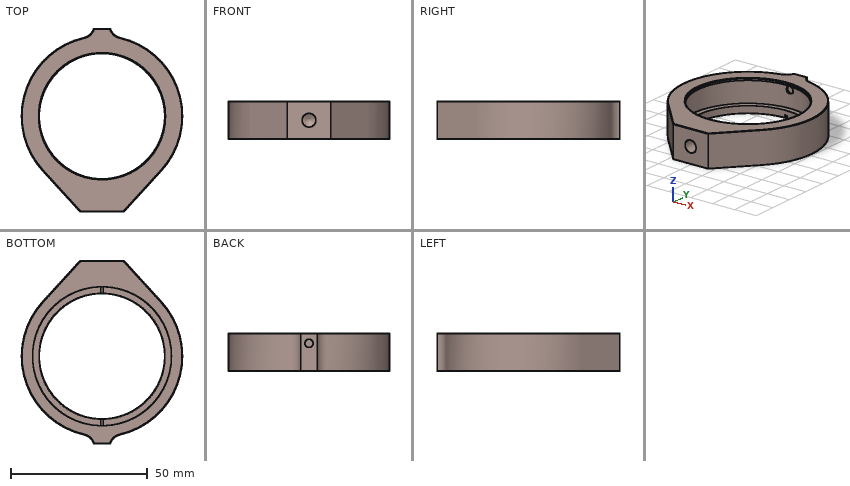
import cadquery as cq
import math

height = 14.0
rim_diameter = 59.0
rim_radius = rim_diameter / 2
foot_reach = 35.0
foot_width = 16.0
tab_reach = 32.0
tab_width = 6.0
tab_blend_radius = 5.0
edge_chamfer = 0.2

lip_radius = 23.0
lip_thickness = 1.0
lip_chamfer = 0.3
seat_radius = 25.45

mount_hole_diameter = 5.0
mount_hole_depth = 6.0
drill_point_angle = 118.0

screw_diameter = 3.0
screw_z = 10.25
screw_setback = 0.6

ring_height = 3.0
slot_width = 1.0
slot_depth = 1.0


def on_circle(radius, angle):
    """Point in the XY plane at a radius and an angle in radians."""
    return radius * math.cos(angle), radius * math.sin(angle)


def mirrored(point):
    """The point on the other side of the YZ plane."""
    return -point[0], point[1]


def housing_outline():
    """Round rim with sides tangent to the foot and a tab blended in on the opposite side."""
    foot_corner = (foot_width / 2, -foot_reach)
    foot_angle = math.atan2(foot_corner[1], foot_corner[0])
    side_tangent = on_circle(rim_radius, foot_angle + math.acos(rim_radius / math.hypot(*foot_corner)))

    tab_corner = (tab_width / 2, tab_reach)
    corner_distance = math.hypot(*tab_corner)
    centre_distance = rim_radius + tab_blend_radius
    spread = math.acos(
        (corner_distance**2 + centre_distance**2 - tab_blend_radius**2)
        / (2 * corner_distance * centre_distance)
    )
    blend_angle = math.atan2(tab_corner[1], tab_corner[0]) - spread
    blend_end = on_circle(rim_radius, blend_angle)
    blend_centre = on_circle(centre_distance, blend_angle)
    chord_middle = ((tab_corner[0] + blend_end[0]) / 2, (tab_corner[1] + blend_end[1]) / 2)
    bulge_angle = math.atan2(chord_middle[1] - blend_centre[1], chord_middle[0] - blend_centre[0])
    bulge = on_circle(tab_blend_radius, bulge_angle)
    blend_middle = (blend_centre[0] + bulge[0], blend_centre[1] + bulge[1])

    return (
        cq.Workplane("XY")
        .moveTo(*mirrored(foot_corner))
        .lineTo(*foot_corner)
        .lineTo(*side_tangent)
        .threePointArc((rim_radius, 0), blend_end)
        .threePointArc(blend_middle, tab_corner)
        .lineTo(*mirrored(tab_corner))
        .threePointArc(mirrored(blend_middle), mirrored(blend_end))
        .threePointArc((-rim_radius, 0), mirrored(side_tangent))
        .close()
    )


def mount_hole():
    """Drilled blind hole with a conical end, entering the foot along +Y."""
    radius = mount_hole_diameter / 2
    point_length = radius / math.tan(math.radians(drill_point_angle / 2))
    bottom_y = mount_hole_depth - foot_reach
    return (
        cq.Workplane("XY")
        .moveTo(0, -foot_reach)
        .lineTo(radius, -foot_reach)
        .lineTo(radius, bottom_y)
        .lineTo(0, bottom_y + point_length)
        .close()
        .revolve(360, (0, 0, 0), (0, 1, 0))
        .translate((0, 0, height / 2))
    )


def rod_along_y(diameter, start_y, end_y, z):
    """Cylinder at X = 0 with its axis along Y."""
    return (
        cq.Workplane("XZ", origin=(0, start_y, z))
        .circle(diameter / 2)
        .extrude(start_y - end_y)
    )


def build_housing():
    body = housing_outline().extrude(height).faces("<Z or >Z").chamfer(edge_chamfer)
    body = body.cut(cq.Workplane("XY").circle(lip_radius).extrude(height))
    body = body.cut(cq.Workplane("XY").circle(seat_radius).extrude(height - lip_thickness))
    lip_edge = cq.selectors.RadiusNthSelector(1)
    body = body.faces(">Z").edges("%CIRCLE").edges(lip_edge).chamfer(lip_chamfer)
    body = body.cut(mount_hole())
    return body.cut(rod_along_y(screw_diameter, 0, tab_reach, screw_z))


def build_retaining_ring():
    ring = cq.Workplane("XY").circle(seat_radius).circle(lip_radius).extrude(ring_height)
    slots = cq.Workplane("XY").rect(slot_width, 2 * seat_radius).extrude(slot_depth)
    return ring.cut(slots)


def build_set_screw():
    return rod_along_y(screw_diameter, seat_radius + screw_setback, tab_reach, screw_z)


housing = build_housing()
retaining_ring = build_retaining_ring()
set_screw = build_set_screw()

result = cq.Compound.makeCompound([housing.val(), retaining_ring.val(), set_screw.val()])